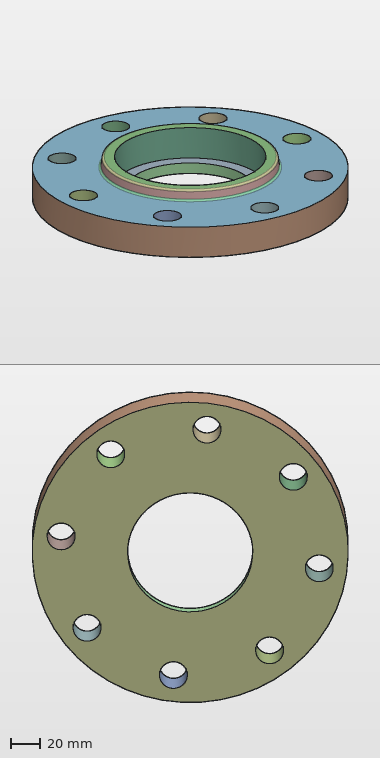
import cadquery as cq

flange_diameter = 215.9
flange_thickness = 22.4
total_height = 30.23

bolt_count = 8
bolt_circle_diameter = 177.8
bolt_hole_diameter = 19.05

hub_base_diameter = 122.2
hub_top_diameter = 120.3
hub_rim_radius = 1.5
hub_root_radius = 1.5

socket_diameter = 103.4
socket_depth = 22.4
bore_diameter = 85.4


def make_flange_plate():
    return cq.Workplane("XY").circle(flange_diameter / 2).extrude(flange_thickness)


def make_hub():
    """Tapered ring blank, starting at the underside so that it merges with the plate."""
    hub_profile = [
        (0, 0),
        (hub_base_diameter / 2, 0),
        (hub_base_diameter / 2, flange_thickness),
        (hub_top_diameter / 2, total_height),
        (0, total_height),
    ]
    return cq.Workplane("XZ").polyline(hub_profile).close().revolve(360, (0, 0), (0, 1))


def round_hub_edges(body):
    rim_edge = body.faces(">Z").edges()
    body = rim_edge.fillet(hub_rim_radius)
    plate_top = body.faces("+Z").faces("<Z")
    root_edge = plate_top.edges(cq.selectors.RadiusNthSelector(0))
    return root_edge.fillet(hub_root_radius)


def cut_central_opening(body):
    bore = cq.Workplane("XY").circle(bore_diameter / 2).extrude(total_height)
    socket_floor = cq.Workplane("XY").workplane(offset=total_height - socket_depth)
    socket = socket_floor.circle(socket_diameter / 2).extrude(socket_depth)
    return body.cut(bore).cut(socket)


def cut_bolt_holes(body):
    holes = (
        cq.Workplane("XY")
        .polarArray(bolt_circle_diameter / 2, 0, 360, bolt_count)
        .circle(bolt_hole_diameter / 2)
        .extrude(flange_thickness)
    )
    return body.cut(holes)


flange_blank = round_hub_edges(make_flange_plate().union(make_hub()))
result = cut_bolt_holes(cut_central_opening(flange_blank))